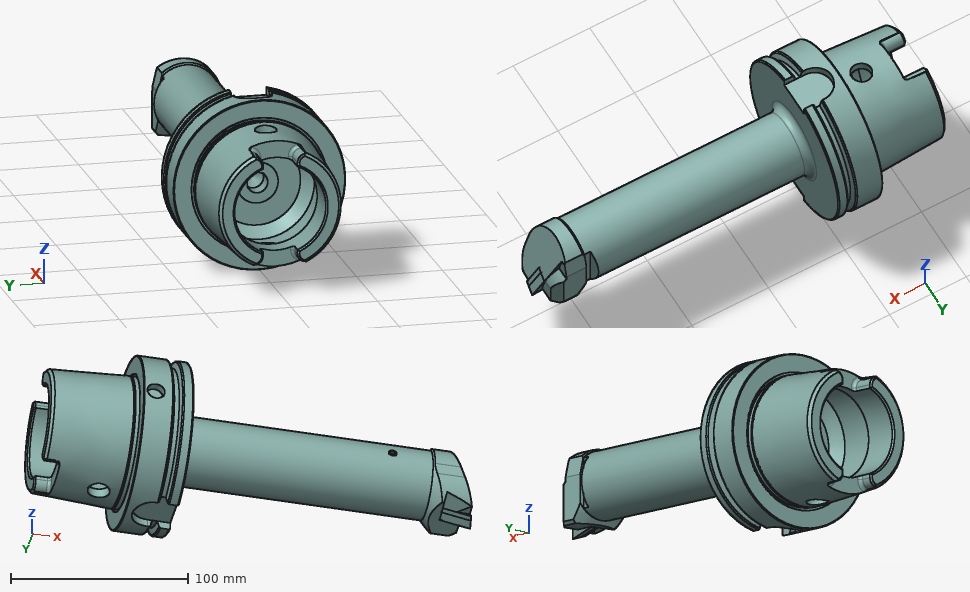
import cadquery as cq
import math


TAPER_LENGTH = 50.0
TAPER_TIP_RADIUS = 35.5
TAPER_BASE_RADIUS = 38.0
TAPER_CHAMFER = 1.7
NECK_RADIUS = 37.2
NECK_START = -3.0
NECK_END = -2.0
FLANGE_RADIUS = 50.0
FLANGE_WIDTH = 29.0
FLANGE_FRONT_CHAMFER = 0.5
FLANGE_BACK_CHAMFER = 0.7
FACE_RECESS_RADIUS = 39.5
FACE_RECESS_DEPTH = 0.7
GROOVE_CENTRE = 20.0
GROOVE_FLOOR_RADIUS = 45.5
GROOVE_FLOOR_WIDTH = 2.7
GROOVE_THROAT_WIDTH = 5.0
GROOVE_MOUTH_WIDTH = 6.7
GROOVE_CHAMFER_DEPTH = 0.7

SHANK_RADIUS = 20.0
SHANK_END = 174.0
SHANK_FILLET = 5.0

BORE_RADIUS = 26.5
BORE_CHAMFER = 1.0
CLAMP_SHOULDER_X = -28.2
CLAMP_SHOULDER_ANGLE = 60.0
CHAMBER_RADIUS = 31.5
BORE_FLOOR = 5.0
BORE_FLOOR_RADIUS = 25.0
PLUG_RADIUS = 12.0
PLUG_LENGTH = 15.0
PLUG_HOLE_RADIUS = 6.0
PLUG_HOLE_DEPTH = 10.0

DRIVE_SLOT_HALF_WIDTH = 10.0
DRIVE_SLOT_EDGE_RADIUS = 5.0
DRIVE_SLOT_SHOULDER = 31.7
UPPER_DRIVE_SLOT_DEPTH = 15.0
LOWER_DRIVE_SLOT_DEPTH = 9.5
DRIVE_SLOT_FILLET = 2.0
DRIVE_SLOT_CHAMFER = 1.0

CROSS_HOLE_RADIUS = 6.2
CROSS_HOLE_X = -15.0
KEYWAY_HALF_WIDTH = 11.0
KEYWAY_START = 4.5
KEYWAY_FLOOR = 44.0
CHIP_HOLE_RADIUS = 5.0
CHIP_HOLE_X = 7.0
CHIP_HOLE_DEPTH = 5.0

SCREW_RADIUS = 2.2
SCREW_X = 150.7
SCREW_Z = 4.2
SCREW_HOLE_DEPTH = 10.0
SCREW_RECESS = 1.0
SOCKET_RADIUS = 1.5
SOCKET_DEPTH = 2.0

HEAD_RADIUS = 21.0
HEAD_DROP = 7.0
HEAD_BOTTOM = -22.2
HEAD_FLAT_Y = 16.2
FLUTE_FLAT_Y = 13.7
FLUTE_FLAT_END_Z = 5.0
FLUTE_START = 168.2
FLUTE_RUNOUT = 1.7
FRONT_LEAN = 18.5
FRONT_TWIST = 2.7
LIP_START = 187.0
LIP_END = 194.2
LIP_TOP_Z = 2.5
LIP_MIDDLE = (191.5, -3.0)
LIP_END_Z = -9.5
LIP_CORNER = 5.5

TIP_X = 200.0
TIP_Z = -26.7
RAKE_TILT = 15.0
INSERT_EDGE = 18.0
INSERT_EDGE_SLOPE = 14.0
INSERT_THICKNESS = 5.5
SHIM_THICKNESS = 3.0

FAR = 75.0


def revolve_about_x(points):
    return cq.Workplane("XY").polyline(points).close().revolve(360, (0, 0, 0), (1, 0, 0))


def x_cylinder(radius, start, length):
    return cq.Workplane("YZ", origin=(start, 0, 0)).circle(radius).extrude(length)


def drilled_hole(radius, depth):
    """Blind hole along +X from the origin, with a 118 degree drill point."""
    point = radius / math.tan(math.radians(59))
    return revolve_about_x([(0, 0), (0, radius), (depth, radius), (depth + point, 0)])


def make_blank():
    """Taper, flange with its gripper groove, and shank, as one turned shape."""
    fillet_side = SHANK_FILLET * math.sin(math.radians(45))
    floor_half = GROOVE_FLOOR_WIDTH / 2
    throat_half = GROOVE_THROAT_WIDTH / 2
    throat_radius = FLANGE_RADIUS - GROOVE_CHAMFER_DEPTH
    mouth_half = GROOVE_MOUTH_WIDTH / 2
    return (
        cq.Workplane("XY")
        .moveTo(-TAPER_LENGTH, 0)
        .lineTo(-TAPER_LENGTH, TAPER_TIP_RADIUS - TAPER_CHAMFER)
        .lineTo(-TAPER_LENGTH + TAPER_CHAMFER, TAPER_TIP_RADIUS)
        .lineTo(NECK_START, TAPER_BASE_RADIUS)
        .lineTo(NECK_START, NECK_RADIUS)
        .lineTo(NECK_END, NECK_RADIUS)
        .lineTo(NECK_END, TAPER_BASE_RADIUS)
        .lineTo(FACE_RECESS_DEPTH, TAPER_BASE_RADIUS)
        .lineTo(FACE_RECESS_DEPTH, FACE_RECESS_RADIUS)
        .lineTo(0, FACE_RECESS_RADIUS)
        .lineTo(0, FLANGE_RADIUS - FLANGE_FRONT_CHAMFER)
        .lineTo(FLANGE_FRONT_CHAMFER, FLANGE_RADIUS)
        .lineTo(GROOVE_CENTRE - mouth_half, FLANGE_RADIUS)
        .lineTo(GROOVE_CENTRE - throat_half, throat_radius)
        .lineTo(GROOVE_CENTRE - floor_half, GROOVE_FLOOR_RADIUS)
        .lineTo(GROOVE_CENTRE + floor_half, GROOVE_FLOOR_RADIUS)
        .lineTo(GROOVE_CENTRE + throat_half, throat_radius)
        .lineTo(GROOVE_CENTRE + mouth_half, FLANGE_RADIUS)
        .lineTo(FLANGE_WIDTH - FLANGE_BACK_CHAMFER, FLANGE_RADIUS)
        .lineTo(FLANGE_WIDTH, FLANGE_RADIUS - FLANGE_BACK_CHAMFER)
        .lineTo(FLANGE_WIDTH, SHANK_RADIUS + SHANK_FILLET)
        .threePointArc(
            (FLANGE_WIDTH + SHANK_FILLET - fillet_side, SHANK_RADIUS + SHANK_FILLET - fillet_side),
            (FLANGE_WIDTH + SHANK_FILLET, SHANK_RADIUS),
        )
        .lineTo(SHANK_END, SHANK_RADIUS)
        .lineTo(SHANK_END, 0)
        .close()
        .revolve(360, (0, 0, 0), (1, 0, 0))
    )


def make_bore():
    """Bore with a mouth chamfer that opens behind a clamping shoulder into a wider chamber."""
    shoulder_length = (CHAMBER_RADIUS - BORE_RADIUS) / math.tan(math.radians(CLAMP_SHOULDER_ANGLE))
    end_cone_length = CHAMBER_RADIUS - BORE_FLOOR_RADIUS
    return revolve_about_x([
        (-TAPER_LENGTH, 0),
        (-TAPER_LENGTH, BORE_RADIUS + BORE_CHAMFER),
        (-TAPER_LENGTH + BORE_CHAMFER, BORE_RADIUS),
        (CLAMP_SHOULDER_X, BORE_RADIUS),
        (CLAMP_SHOULDER_X + shoulder_length, CHAMBER_RADIUS),
        (BORE_FLOOR - end_cone_length, CHAMBER_RADIUS),
        (BORE_FLOOR, BORE_FLOOR_RADIUS),
        (BORE_FLOOR, 0),
    ])


def drive_slot_outline(x, growth):
    """Section of the upper drive slot at x, widened by a growth, with wall tops rounding onto a shoulder."""
    outer = DRIVE_SLOT_HALF_WIDTH + DRIVE_SLOT_EDGE_RADIUS
    edge = DRIVE_SLOT_EDGE_RADIUS - growth
    edge_centre_z = DRIVE_SLOT_SHOULDER - DRIVE_SLOT_EDGE_RADIUS
    shoulder = edge_centre_z + edge
    half = outer - edge
    bend = edge * math.sin(math.radians(45))
    return (
        cq.Workplane("YZ", origin=(x, 0, 0))
        .moveTo(-half, 0)
        .lineTo(-half, edge_centre_z)
        .threePointArc((-outer + bend, edge_centre_z + bend), (-outer, shoulder))
        .lineTo(-outer, FAR)
        .lineTo(outer, FAR)
        .lineTo(outer, shoulder)
        .threePointArc((outer - bend, edge_centre_z + bend), (half, edge_centre_z))
        .lineTo(half, 0)
        .close()
    )


def make_drive_slot(depth):
    """Upper drive slot with rounded floor corners and a chamfered mouth."""
    slot = drive_slot_outline(-TAPER_LENGTH, 0).extrude(depth).faces(">X").edges().fillet(DRIVE_SLOT_FILLET)
    mouth_wire = drive_slot_outline(-TAPER_LENGTH, DRIVE_SLOT_CHAMFER).val()
    inner_wire = drive_slot_outline(-TAPER_LENGTH + DRIVE_SLOT_CHAMFER, 0).val()
    mouth = cq.Solid.makeLoft([mouth_wire, inner_wire], True)
    return slot.union(cq.Workplane(mouth))


def make_keyway():
    """Upper flange keyway: round at its taper end and open at the shank end."""
    centre = KEYWAY_START + KEYWAY_HALF_WIDTH
    return (
        cq.Workplane("XY", origin=(0, 0, KEYWAY_FLOOR))
        .moveTo(centre, KEYWAY_HALF_WIDTH)
        .threePointArc((KEYWAY_START, 0), (centre, -KEYWAY_HALF_WIDTH))
        .lineTo(FLANGE_WIDTH, -KEYWAY_HALF_WIDTH)
        .lineTo(FLANGE_WIDTH, KEYWAY_HALF_WIDTH)
        .close()
        .extrude(FAR)
    )


def turn_over(shape):
    return shape.rotate((0, 0, 0), (1, 0, 0), 180)


def make_chip_hole():
    floor_y = -FLANGE_RADIUS + CHIP_HOLE_DEPTH
    return (
        cq.Workplane("XZ", origin=(CHIP_HOLE_X, floor_y, 0)).circle(CHIP_HOLE_RADIUS).extrude(FAR)
    )


def make_shank_flute():
    """Flat on the +Y side of the shank end, with a steep run-out."""
    return (
        cq.Workplane("XY", origin=(0, 0, -FAR))
        .moveTo(FLUTE_START, SHANK_RADIUS)
        .lineTo(FLUTE_START + FLUTE_RUNOUT, FLUTE_FLAT_Y)
        .lineTo(SHANK_END, FLUTE_FLAT_Y)
        .lineTo(SHANK_END, SHANK_RADIUS)
        .close()
        .extrude(2 * FAR)
    )


def screw_plane(depth):
    """Plane facing -Y, at a depth below the shank surface, centred on the set screw."""
    return cq.Workplane("XZ", origin=(SCREW_X, depth - SHANK_RADIUS, SCREW_Z))


def make_screw():
    """Set screw with a cone-bottomed socket."""
    body = screw_plane(SCREW_HOLE_DEPTH).circle(SCREW_RADIUS).extrude(SCREW_HOLE_DEPTH - SCREW_RECESS)
    socket = (
        drilled_hole(SOCKET_RADIUS, SOCKET_DEPTH)
        .rotate((0, 0, 0), (0, 0, 1), 90)
        .translate((SCREW_X, SCREW_RECESS - SHANK_RADIUS, SCREW_Z))
    )
    return body.cut(socket)


def make_plug():
    """Coolant plug with a drilled blind hole, flush with the bore floor."""
    body = x_cylinder(PLUG_RADIUS, BORE_FLOOR, PLUG_LENGTH)
    return body.cut(drilled_hole(PLUG_HOLE_RADIUS, PLUG_HOLE_DEPTH).translate((BORE_FLOOR, 0, 0)))


def make_holder():
    cross_hole = (
        cq.Workplane("XY", origin=(CROSS_HOLE_X, 0, -FAR)).circle(CROSS_HOLE_RADIUS).extrude(2 * FAR)
    )
    return (
        make_blank()
        .cut(make_bore())
        .cut(x_cylinder(PLUG_RADIUS, BORE_FLOOR, PLUG_LENGTH))
        .cut(make_drive_slot(UPPER_DRIVE_SLOT_DEPTH))
        .cut(turn_over(make_drive_slot(LOWER_DRIVE_SLOT_DEPTH)))
        .cut(cross_hole)
        .cut(make_keyway())
        .cut(turn_over(make_keyway()))
        .cut(make_chip_hole())
        .cut(make_shank_flute())
        .cut(screw_plane(SCREW_HOLE_DEPTH).circle(SCREW_RADIUS).extrude(FAR))
    )


def place_at_tip(shape):
    """Tilt a shape from the XZ plane onto the rake face and move its origin to the cutting tip."""
    return shape.rotate((0, 0, 0), (1, 0, 0), -RAKE_TILT).translate((TIP_X, 0, TIP_Z))


def make_front_cut():
    """Everything ahead of the leaning, slightly twisted front face, which holds the tip."""
    return (
        cq.Workplane("XY")
        .box(FAR, 4 * FAR, 4 * FAR, centered=(False, True, True))
        .rotate((0, 0, 0), (0, 0, 1), -FRONT_TWIST)
        .rotate((0, 0, 0), (0, 1, 0), -FRONT_LEAN)
        .translate((TIP_X, 0, TIP_Z))
    )


def make_plate(thickness, depth):
    """Rhombic plate with a corner at the cutting tip, a given depth behind the rake face and flush with the front."""
    tilt = math.radians(RAKE_TILT)
    face_lean = math.radians(FRONT_LEAN)
    sideways_slope = math.tan(math.radians(FRONT_TWIST)) / math.cos(face_lean)
    lean = math.atan(math.cos(tilt) * math.tan(face_lean) - math.sin(tilt) * sideways_slope)
    slope = math.radians(INSERT_EDGE_SLOPE)
    front = (-INSERT_EDGE * math.sin(lean), INSERT_EDGE * math.cos(lean))
    bottom = (-INSERT_EDGE * math.cos(slope), INSERT_EDGE * math.sin(slope))
    back = (front[0] + bottom[0], front[1] + bottom[1])
    plate = (
        cq.Workplane("XZ", origin=(0, -depth, 0))
        .polyline([(0, 0), front, back, bottom])
        .close()
        .extrude(thickness)
    )
    return place_at_tip(plate).cut(make_front_cut())


def make_head_blank():
    """Round head that drops lower toward the cutting edge, coned at the shank joint."""
    top_z = math.sqrt(HEAD_RADIUS**2 - FLUTE_FLAT_Y**2)
    bottom_y = math.sqrt(HEAD_RADIUS**2 - (HEAD_BOTTOM + HEAD_DROP) ** 2)
    side_z = -HEAD_DROP - math.sqrt(HEAD_RADIUS**2 - HEAD_FLAT_Y**2)
    diagonal = HEAD_RADIUS * math.sin(math.radians(45))
    lower_arc_angle = math.radians(20)
    lower_arc_middle = (
        -HEAD_RADIUS * math.cos(lower_arc_angle),
        -HEAD_DROP - HEAD_RADIUS * math.sin(lower_arc_angle),
    )
    shape = (
        cq.Workplane("YZ", origin=(SHANK_END, 0, 0))
        .moveTo(FLUTE_FLAT_Y, top_z)
        .threePointArc((-diagonal, diagonal), (-HEAD_RADIUS, 0))
        .lineTo(-HEAD_RADIUS, -HEAD_DROP)
        .threePointArc(lower_arc_middle, (-bottom_y, HEAD_BOTTOM))
        .lineTo(bottom_y, HEAD_BOTTOM)
        .lineTo(HEAD_FLAT_Y, side_z)
        .lineTo(HEAD_FLAT_Y, FLUTE_FLAT_END_Z)
        .close()
        .extrude(FAR)
    )
    joint_cone = revolve_about_x([
        (SHANK_END, 0),
        (SHANK_END, SHANK_RADIUS),
        (SHANK_END + FAR, SHANK_RADIUS + FAR),
        (SHANK_END + FAR, 0),
    ])
    return shape.intersect(joint_cone)


def make_belly_cut():
    """Clearance under the head that continues the side of the insert at its lower edge."""
    below = (
        cq.Workplane("XY", origin=(-INSERT_EDGE, 0, -FAR))
        .box(2 * FAR, 2 * FAR, FAR, centered=(False, True, False))
        .rotate((0, 0, 0), (0, 1, 0), INSERT_EDGE_SLOPE)
    )
    return place_at_tip(below)


def make_chip_space():
    """Open space beside the rake face, above the rounded lip and beyond its end."""
    beside_rake = place_at_tip(
        cq.Workplane("XY").box(2 * FAR, FAR, 2 * FAR, centered=(True, False, True))
    )
    above_lip = (
        cq.Workplane("XZ", origin=(0, FAR, 0))
        .moveTo(LIP_START, FAR)
        .lineTo(LIP_START, LIP_TOP_Z)
        .threePointArc(LIP_MIDDLE, (LIP_END, LIP_END_Z))
        .lineTo(LIP_END, -FAR)
        .lineTo(LIP_END + FAR, -FAR)
        .lineTo(LIP_END + FAR, FAR)
        .close()
        .extrude(2 * FAR)
    )
    return beside_rake.intersect(above_lip)


def make_lip_corner():
    """Bevel across the outer corner of the lip."""
    return (
        cq.Workplane("XY", origin=(0, 0, -FAR))
        .moveTo(LIP_END - LIP_CORNER, HEAD_FLAT_Y)
        .lineTo(LIP_END, HEAD_FLAT_Y)
        .lineTo(LIP_END, HEAD_FLAT_Y - LIP_CORNER)
        .close()
        .extrude(2 * FAR)
    )


insert = make_plate(INSERT_THICKNESS, 0)
shim = make_plate(SHIM_THICKNESS, INSERT_THICKNESS)
head = (
    make_head_blank()
    .cut(make_front_cut())
    .cut(make_belly_cut())
    .cut(make_chip_space())
    .cut(make_lip_corner())
    .cut(insert)
    .cut(shim)
)
holder = make_holder()
plug = make_plug()
screw = make_screw()

result = cq.Compound.makeCompound(
    [
        *holder.solids().vals(),
        *plug.solids().vals(),
        *screw.solids().vals(),
        *head.solids().vals(),
        *insert.solids().vals(),
        *shim.solids().vals(),
    ]
)